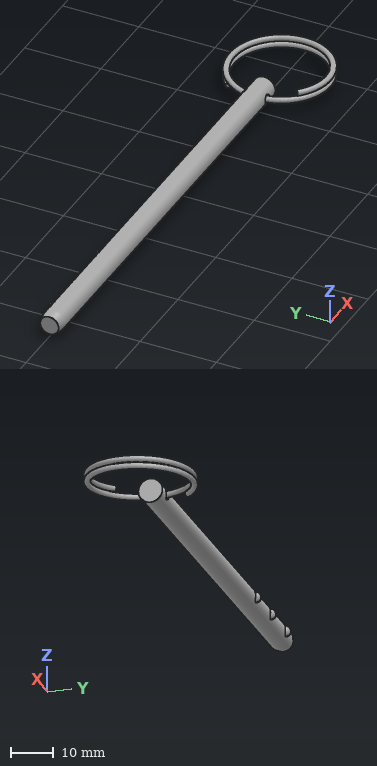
import cadquery as cq
import math

pin_length = 113.5
pin_radius = 3.0
tip_length = 2.2
tip_radius = 2.4

ball_count = 3
ball_radius = 1.4
ball_protrusion = 1.0
first_ball_x = 7.4
ball_spacing = 12.7
ball_y = pin_radius + ball_protrusion - ball_radius

overall_length = 135.1
ring_outer_diameter = 26.9
wire_diameter = 1.6
ring_pitch = 1.8
end_angle = 45.0
ring_turns = 2 * (360.0 - end_angle) / 360.0
ring_height = ring_pitch * ring_turns
coil_radius = (ring_outer_diameter - wire_diameter) / 2
ring_center_x = overall_length - ring_outer_diameter / 2

hole_diameter = 2.3
wire_x_at_axis = ring_center_x - coil_radius
wire_x_at_surface = ring_center_x - math.sqrt(coil_radius**2 - pin_radius**2)
hole_x = (wire_x_at_axis + wire_x_at_surface) / 2


def make_ball(index):
    """Locking ball, counted from the tip of the pin."""
    ball_x = first_ball_x + index * ball_spacing
    return cq.Workplane("XY").sphere(ball_radius).translate((ball_x, ball_y, 0))


def make_pin(balls):
    """Round pin with a tapered tip, a cross hole and a seat for each ball."""
    pin = (
        cq.Workplane("XY")
        .moveTo(0, 0)
        .lineTo(0, tip_radius)
        .lineTo(tip_length, pin_radius)
        .lineTo(pin_length, pin_radius)
        .lineTo(pin_length, 0)
        .close()
        .revolve(360, (0, 0, 0), (1, 0, 0))
    )
    cross_hole = (
        cq.Workplane("XZ")
        .center(hole_x, 0)
        .circle(hole_diameter / 2)
        .extrude(pin_radius, both=True)
    )
    pin = pin.cut(cross_hole)
    for ball in balls:
        pin = pin.cut(ball)
    return pin


def make_ring():
    """Left-handed coil whose middle lies in the cross hole."""
    path = cq.Wire.makeHelix(ring_pitch, ring_height, coil_radius, lefthand=True)
    wire = (
        cq.Workplane("XZ")
        .center(coil_radius, 0)
        .circle(wire_diameter / 2)
        .sweep(cq.Workplane(obj=path), isFrenet=True)
    )
    return (
        wire.rotate((0, 0, 0), (0, 0, 1), 180.0 - end_angle)
        .translate((ring_center_x, 0, -ring_height / 2))
    )


balls = [make_ball(index) for index in range(ball_count)]
pin = make_pin(balls)
ring = make_ring()

result = cq.Compound.makeCompound([pin.val(), ring.val(), *[ball.val() for ball in balls]])